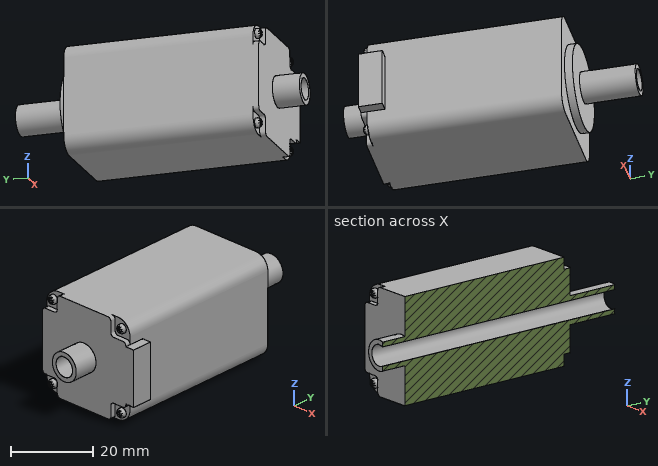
import cadquery as cq


body_width = 28.0
body_length = 50.4
body_corner_radius = 4.0
half_width = body_width / 2
rear_face_y = -body_length

flange_diameter = 22.0
flange_thickness = 2.0

shaft_diameter = 8.0
bore_diameter = 5.5
drive_shaft_length = 14.0
rear_shaft_length = 7.0
drive_end_y = flange_thickness + drive_shaft_length
rear_end_y = rear_face_y - rear_shaft_length

connector_projection = 2.6
connector_length = 6.0
connector_height = 15.7

pocket_size = 5.0
pocket_depth = 1.5
pocket_radius = 1.0
pocket_floor_y = rear_face_y + pocket_depth

screw_spacing = 23.0
screw_head_diameter = 2.5
screw_rim_height = 0.5
screw_head_height = pocket_depth
recess_span = 1.5
recess_arm_width = 0.6
recess_depth = 0.7

CORNERS = [(x_side, z_side) for x_side in (-1, 1) for z_side in (-1, 1)]


def cylinder_along_y(diameter, y_start, y_end):
    """Solid cylinder on the motor axis between two Y positions."""
    return (
        cq.Workplane("XZ", origin=(0, y_end, 0))
        .circle(diameter / 2)
        .extrude(y_end - y_start)
    )


def make_body():
    """Square body with rounded long edges."""
    return (
        cq.Workplane("XZ")
        .rect(body_width, body_width)
        .extrude(body_length)
        .edges("|Y")
        .fillet(body_corner_radius)
    )


def make_connector():
    """Block on the +X side, flush with the rear face."""
    reach = half_width + connector_projection
    return cq.Workplane("XY").box(
        reach, connector_length, connector_height, centered=(False, False, True)
    ).translate((0, rear_face_y, 0))


def make_pocket(x_side, z_side):
    """Corner cutter: rounded inner corner and mouths that flare onto the body sides."""
    r = pocket_radius
    inner = half_width - pocket_size
    profile = (
        cq.Workplane("XZ", origin=(0, pocket_floor_y, 0))
        .moveTo(inner - r, half_width)
        .radiusArc((inner, half_width - r), r)
        .lineTo(inner, inner + r)
        .radiusArc((inner + r, inner), -r)
        .lineTo(half_width - r, inner)
        .radiusArc((half_width, inner - r), r)
        .lineTo(half_width, half_width)
        .close()
    )
    pocket = profile.extrude(pocket_depth)
    if x_side < 0:
        pocket = pocket.mirror("YZ")
    if z_side < 0:
        pocket = pocket.mirror("XY")
    return pocket


def make_screw(x_side, z_side):
    """Domed screw head with a cross recess, standing on a pocket floor."""
    rim_radius = screw_head_diameter / 2
    rim_y = pocket_floor_y - screw_rim_height
    top_y = pocket_floor_y - screw_head_height
    dome_height = screw_head_height - screw_rim_height
    dome_radius = (rim_radius**2 + dome_height**2) / (2 * dome_height)
    head = (
        cq.Workplane("XY")
        .moveTo(0, pocket_floor_y)
        .lineTo(rim_radius, pocket_floor_y)
        .lineTo(rim_radius, rim_y)
        .radiusArc((0, top_y), dome_radius)
        .close()
        .revolve(360, (0, 0, 0), (0, 1, 0))
    )
    recess = cq.Workplane("XZ", origin=(0, top_y + recess_depth, 0))
    for x_size, z_size in ((recess_span, recess_arm_width), (recess_arm_width, recess_span)):
        head = head.cut(recess.rect(x_size, z_size).extrude(recess_depth))
    return head.translate((x_side * screw_spacing / 2, 0, z_side * screw_spacing / 2))


motor = make_body().union(make_connector())
motor = motor.union(cylinder_along_y(flange_diameter, 0, flange_thickness))
for corner in CORNERS:
    motor = motor.cut(make_pocket(*corner))
    motor = motor.union(make_screw(*corner))
motor = motor.union(cylinder_along_y(shaft_diameter, rear_end_y, drive_end_y))
result = motor.cut(cylinder_along_y(bore_diameter, rear_end_y, drive_end_y))